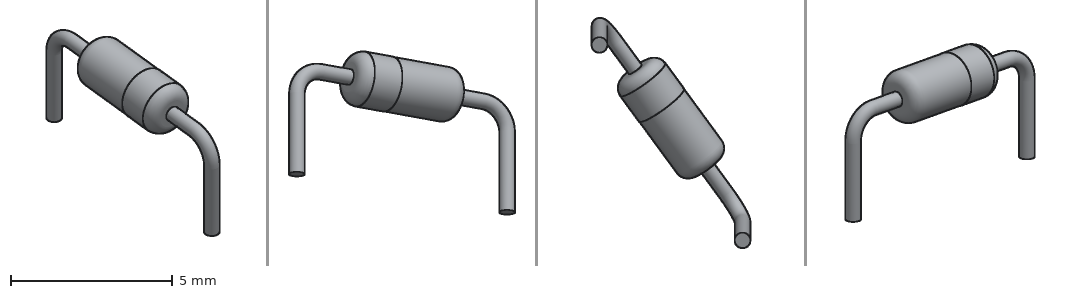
import cadquery as cq

overall_length = 8.12
overall_height = 4.33

body_length = 3.8
body_diameter = 1.72
body_edge_radius = 0.39

band_diameter = 1.74
band_length = 1.0

lead_diameter = 0.495
bend_radius = 0.87

body_end = body_length / 2
band_end = body_end - body_edge_radius
band_start = band_end - band_length
leg_x = (overall_length - lead_diameter) / 2
leg_bottom = band_diameter / 2 - overall_height


def cylinder_along_x(start, length, diameter):
    return cq.Workplane("YZ", origin=(start, 0, 0)).circle(diameter / 2).extrude(length)


def make_body():
    """Cylinder with rounded ends."""
    body = cylinder_along_x(-body_end, body_length, body_diameter)
    return body.edges("%CIRCLE").fillet(body_edge_radius)


def make_band():
    """Polarity band, slightly raised above the body."""
    return cylinder_along_x(band_start, band_length, band_diameter)


def make_leads():
    """One continuous wire through the body, with a rounded bend at each end."""
    bend_start = leg_x - bend_radius
    path = (
        cq.Workplane("XZ")
        .moveTo(-leg_x, leg_bottom)
        .lineTo(-leg_x, -bend_radius)
        .radiusArc((-bend_start, 0), bend_radius)
        .lineTo(bend_start, 0)
        .radiusArc((leg_x, -bend_radius), bend_radius)
        .lineTo(leg_x, leg_bottom)
    )
    leg_end = cq.Workplane("XY", origin=(-leg_x, 0, leg_bottom)).circle(lead_diameter / 2)
    return leg_end.sweep(path)


result = make_body().union(make_band()).union(make_leads())